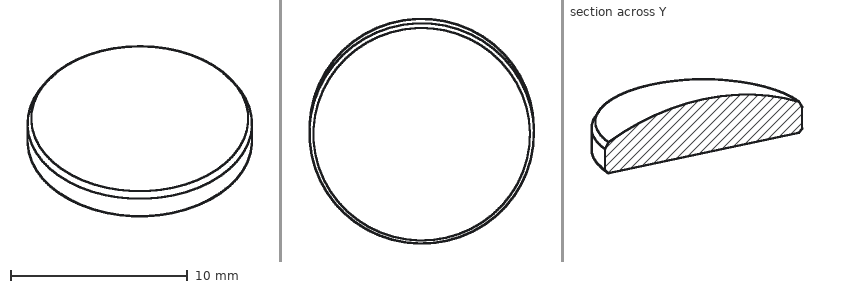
import cadquery as cq

outer_radius = 6.35
total_height = 3.34
bottom_bevel = 0.23
wall_top = 1.55
top_bevel_width = 0.22
top_bevel_height = 0.38

dome_edge_radius = outer_radius - top_bevel_width
dome_edge_height = wall_top + top_bevel_height
dome_rise = total_height - dome_edge_height

sphere_radius = (dome_edge_radius**2 + dome_rise**2) / (2 * dome_rise)
sphere_center_height = total_height - sphere_radius
arc_mid_radius = dome_edge_radius / 2
arc_mid_height = sphere_center_height + (sphere_radius**2 - arc_mid_radius**2) ** 0.5

half_section = (
    cq.Workplane("XZ")
    .lineTo(outer_radius - bottom_bevel, 0)
    .lineTo(outer_radius, bottom_bevel)
    .lineTo(outer_radius, wall_top)
    .lineTo(dome_edge_radius, dome_edge_height)
    .threePointArc((arc_mid_radius, arc_mid_height), (0, total_height))
    .close()
)

result = half_section.revolve(360, (0, 0, 0), (0, 1, 0))